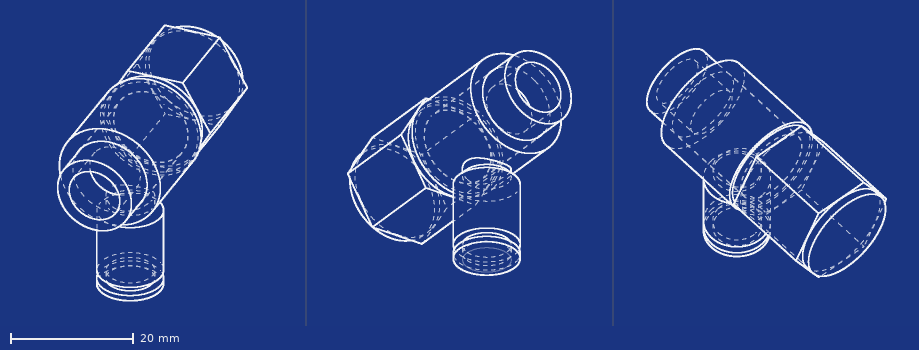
import cadquery as cq

total_length = 42.5
hex_across_flats = 17.0
hex_length = 15.55
collar_diameter = 16.8
rear_collar_length = 1.5
front_collar_length = 1.95
spindle_diameter = 13.18
bore_diameter = 9.0
bore_depth = 8.5

sleeve_diameter = 18.0
sleeve_length = 17.1
sleeve_bore_diameter = 13.3

neck_radius = 8.0 / 2
port_radius = 11.0 / 2
shoulder_top = -9.78
shoulder_bottom = -11.2
groove_top = -22.7
groove_bottom = -24.25
port_bottom = -25.5
end_cone_height = 0.2

rear_y = total_length / 2
front_y = -rear_y
hex_rear_y = rear_y - rear_collar_length
hex_front_y = hex_rear_y - hex_length
sleeve_rear_y = hex_front_y - front_collar_length
port_y = sleeve_rear_y - sleeve_length / 2


def section_at(y):
    """Plane facing -Y, centred on the stud axis at station y."""
    return cq.Workplane("XZ", origin=(0, y, 0))


def make_stud():
    hex_corner_diameter = hex_across_flats * 2 / 3**0.5
    collar_length = rear_y - sleeve_rear_y
    collar = section_at(rear_y).circle(collar_diameter / 2).extrude(collar_length)
    hexagon = section_at(hex_rear_y).polygon(6, hex_corner_diameter).extrude(hex_length)
    spindle = section_at(sleeve_rear_y).circle(spindle_diameter / 2).extrude(sleeve_rear_y - front_y)
    bore = section_at(front_y + bore_depth).circle(bore_diameter / 2).extrude(bore_depth)
    return collar.union(hexagon).union(spindle).cut(bore)


def make_tube_port():
    """Revolved port, starting on the sleeve axis so that its neck meets the sleeve."""
    profile = [
        (0, 0),
        (neck_radius, 0),
        (neck_radius, shoulder_top),
        (port_radius, shoulder_bottom),
        (port_radius, groove_top),
        (neck_radius, groove_top),
        (neck_radius, groove_bottom),
        (port_radius, groove_bottom),
        (port_radius, port_bottom + end_cone_height),
        (neck_radius, port_bottom),
        (0, port_bottom),
    ]
    port = cq.Workplane("XZ").polyline(profile).close().revolve(360, (0, 0), (0, 1))
    return port.translate((0, port_y, 0))


def make_banjo():
    sleeve = section_at(sleeve_rear_y).circle(sleeve_diameter / 2).extrude(sleeve_length)
    bore = section_at(sleeve_rear_y).circle(sleeve_bore_diameter / 2).extrude(sleeve_length)
    return sleeve.union(make_tube_port()).cut(bore)


stud = make_stud()
banjo = make_banjo()

result = cq.Compound.makeCompound([stud.solids().val(), banjo.solids().val()])